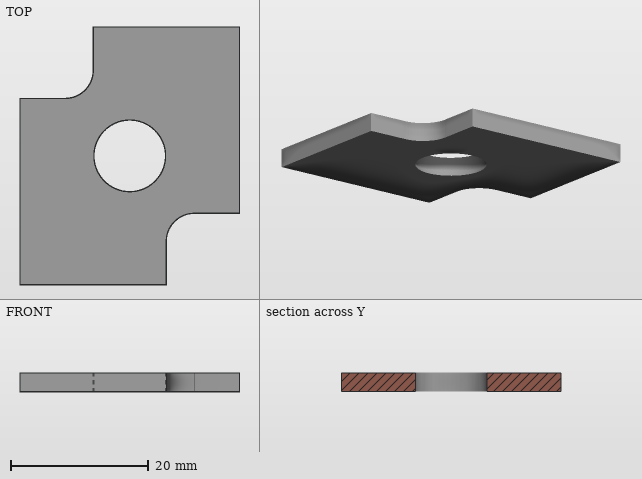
import cadquery as cq

plate_width = 32.0
plate_length = 37.59
plate_thickness = 2.75

hole_diameter = 10.41

notch_width = 10.668
notch_length = 10.414
notch_corner_radius = 4.064


def make_plate():
    return cq.Workplane("XY").box(
        plate_width, plate_length, plate_thickness, centered=(True, True, False)
    )


def make_notch_cutter(side):
    """Cutter for the (+X, -Y) corner when side is 1, or the (-X, +Y) corner when side is -1."""
    center_x = side * (plate_width - notch_width) / 2
    center_y = -side * (plate_length - notch_length) / 2
    inner_edge = "<X and >Y" if side > 0 else ">X and <Y"
    return (
        cq.Workplane("XY")
        .center(center_x, center_y)
        .rect(notch_width, notch_length)
        .extrude(plate_thickness)
        .edges("|Z")
        .edges(inner_edge)
        .fillet(notch_corner_radius)
    )


def cut_center_hole(body):
    return body.faces(">Z").workplane(origin=(0, 0, 0)).hole(hole_diameter)


result = make_plate()
for side in (1, -1):
    result = result.cut(make_notch_cutter(side))
result = cut_center_hole(result)